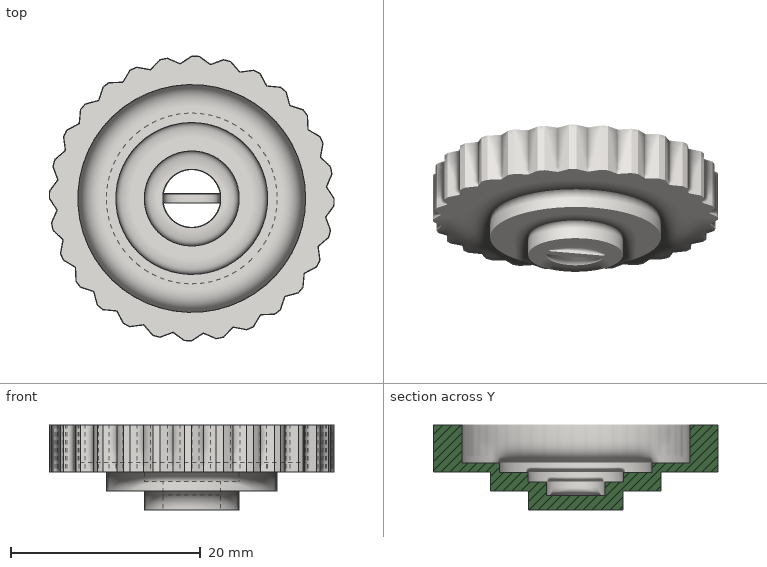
import cadquery as cq
import math

RIM_RADIUS = 15.0
RIM_HEIGHT = 5.0
TOOTH_COUNT = 28
TOOTH_PITCH = 360.0 / TOOTH_COUNT
VALLEY_RADIUS = 14.25
CREST_ANGLE = 3.0
FIRST_CREST_ANGLE = 11.35

FLANGE_RADIUS = 9.0
FLANGE_HEIGHT = 2.0
HUB_RADIUS = 5.0
HUB_HEIGHT = 2.0

DISH_RADIUS = 12.0
DISH_DEPTH = 4.0
MIDDLE_RECESS_RADIUS = 8.0
INNER_RECESS_RADIUS = HUB_RADIUS
RECESS_STEP = 1.0

BORE_RADIUS = 3.05
BAR_WIDTH = 1.0
BAR_HEIGHT = 1.6

FLANGE_BOTTOM = HUB_HEIGHT
RIM_BOTTOM = FLANGE_BOTTOM + FLANGE_HEIGHT
RIM_TOP = RIM_BOTTOM + RIM_HEIGHT
DISH_FLOOR = RIM_TOP - DISH_DEPTH
MIDDLE_FLOOR = DISH_FLOOR - RECESS_STEP
INNER_FLOOR = MIDDLE_FLOOR - RECESS_STEP


def polar(radius, angle):
    """Point at a radius and an angle in degrees."""
    radians = math.radians(angle)
    return (radius * math.cos(radians), radius * math.sin(radians))


def disc(radius, bottom, top):
    """Cylinder on the Z axis between two levels."""
    return cq.Workplane("XY").workplane(offset=bottom).circle(radius).extrude(top - bottom)


def knurled_rim():
    """Rim with straight-flanked V valleys between arc-topped teeth."""
    outline = cq.Workplane("XY").workplane(offset=RIM_BOTTOM)
    outline = outline.moveTo(*polar(VALLEY_RADIUS, FIRST_CREST_ANGLE - TOOTH_PITCH / 2))
    for tooth in range(TOOTH_COUNT):
        crest = FIRST_CREST_ANGLE + tooth * TOOTH_PITCH
        crest_start = polar(RIM_RADIUS, crest - CREST_ANGLE / 2)
        crest_middle = polar(RIM_RADIUS, crest)
        crest_end = polar(RIM_RADIUS, crest + CREST_ANGLE / 2)
        outline = outline.lineTo(*crest_start).threePointArc(crest_middle, crest_end)
        if tooth < TOOTH_COUNT - 1:
            outline = outline.lineTo(*polar(VALLEY_RADIUS, crest + TOOTH_PITCH / 2))
    return outline.close().extrude(RIM_HEIGHT)


def stepped_body():
    """Rim, flange and hub stacked on one axis."""
    flange = disc(FLANGE_RADIUS, FLANGE_BOTTOM, RIM_BOTTOM)
    hub = disc(HUB_RADIUS, 0, FLANGE_BOTTOM)
    return knurled_rim().union(flange).union(hub)


def stepped_recess():
    """Dish, its two deeper steps and the through bore, as one cutting body."""
    recess = disc(DISH_RADIUS, DISH_FLOOR, RIM_TOP)
    recess = recess.union(disc(MIDDLE_RECESS_RADIUS, MIDDLE_FLOOR, DISH_FLOOR))
    recess = recess.union(disc(INNER_RECESS_RADIUS, INNER_FLOOR, MIDDLE_FLOOR))
    return recess.union(disc(BORE_RADIUS, 0, INNER_FLOOR))


def drive_bar():
    """Bar along X across the bore, its ends buried in the hub wall."""
    bar_length = BORE_RADIUS + HUB_RADIUS
    return cq.Workplane("XY").box(bar_length, BAR_WIDTH, BAR_HEIGHT, centered=(True, True, False))


result = stepped_body().cut(stepped_recess()).union(drive_bar())